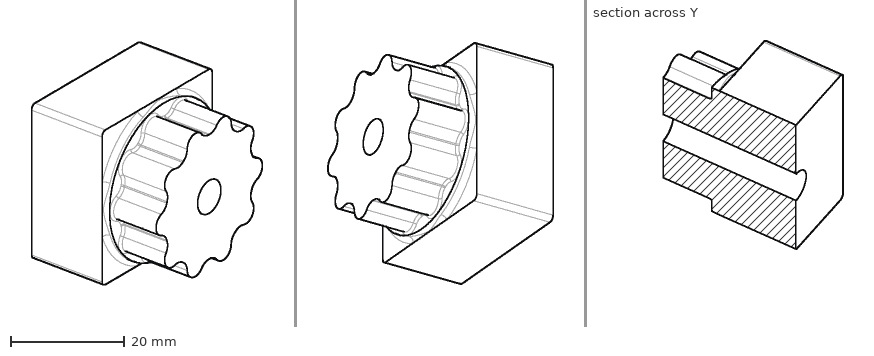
import cadquery as cq
import math

block_width = 31.0
block_length = 16.0
block_corner_radius = 1.0
collar_radius = 15.47
collar_end = 17.67
collar_fillet = 1.0
total_length = 27.8
bore_radius = 3.3

lobe_count = 10
knob_radius = 14.97
lobe_radius = 2.25
core_radius = 12.5
flute_radius = 2.48
knob_base_fillet = 0.45

plane_tolerance = 0.003

lobe_center_radius = knob_radius - lobe_radius
lobe_pitch = 2 * math.pi / lobe_count
knob_length = total_length - collar_end


def polar(radius, angle):
    """Point on the YZ plane, with the angle measured from +Y."""
    return (radius * math.cos(angle), radius * math.sin(angle))


def point_between(start, end, distance):
    """Point at a given distance from start along the line towards end."""
    share = distance / math.dist(start, end)
    return tuple(a + share * (b - a) for a, b in zip(start, end))


def square_block():
    """Square block with rounded long edges."""
    block = cq.Workplane("YZ").rect(block_width, block_width).extrude(block_length)
    return block.edges("|X").fillet(block_corner_radius)


def edges_at(body, x):
    """Edges of the body that lie entirely in the plane at the given X."""
    low_corner = (x - plane_tolerance, -block_width, -block_width)
    high_corner = (x + plane_tolerance, block_width, block_width)
    return body.edges(cq.selectors.BoxSelector(low_corner, high_corner, boundingbox=True))


def collared_block():
    """Block with a round collar on its end, blended where the two meet."""
    collar = cq.Workplane("YZ", origin=(block_length, 0, 0)).circle(collar_radius)
    body = square_block().union(collar.extrude(collar_end - block_length))
    collar_foot = edges_at(body, block_length).edges(cq.selectors.RadiusNthSelector(-1))
    return collar_foot.fillet(collar_fillet)


def fluted_profile():
    """Round lobes, each blended by concave arcs into a narrow strip of the core circle."""
    flute_center_radius = core_radius + flute_radius
    touching_distance = lobe_radius + flute_radius
    flute_angle = math.acos(
        (flute_center_radius**2 + lobe_center_radius**2 - touching_distance**2)
        / (2 * flute_center_radius * lobe_center_radius)
    )

    profile = cq.Workplane("YZ", origin=(collar_end, 0, 0))
    profile = profile.moveTo(*polar(core_radius, -flute_angle))
    for lobe in range(lobe_count):
        angle = lobe * lobe_pitch
        lobe_center = polar(lobe_center_radius, angle)
        flute_in = polar(flute_center_radius, angle - flute_angle)
        flute_out = polar(flute_center_radius, angle + flute_angle)
        lobe_start = point_between(lobe_center, flute_in, lobe_radius)
        lobe_end = point_between(lobe_center, flute_out, lobe_radius)
        core_start = polar(core_radius, angle + flute_angle)
        core_end = polar(core_radius, angle + lobe_pitch - flute_angle)
        core_middle = polar(core_radius, angle + lobe_pitch / 2)
        profile = profile.radiusArc(lobe_start, flute_radius)
        profile = profile.threePointArc(polar(knob_radius, angle), lobe_end)
        profile = profile.radiusArc(core_start, flute_radius)
        profile = profile.threePointArc(core_middle, core_end)
    return profile.close()


def add_knob(body):
    """Fluted knob standing on the collar, with a small fillet around its foot."""
    body = body.union(fluted_profile().extrude(knob_length))
    shoulder = edges_at(body, collar_end).vals()
    knob_foot = [edge for edge in shoulder if edge.radius() < knob_radius]
    return body.newObject(knob_foot).fillet(knob_base_fillet)


def cut_bore(body):
    """Round hole through the whole part along its axis."""
    bore = cq.Workplane("YZ").circle(bore_radius).extrude(total_length)
    return body.cut(bore)


result = cut_bore(add_knob(collared_block()))